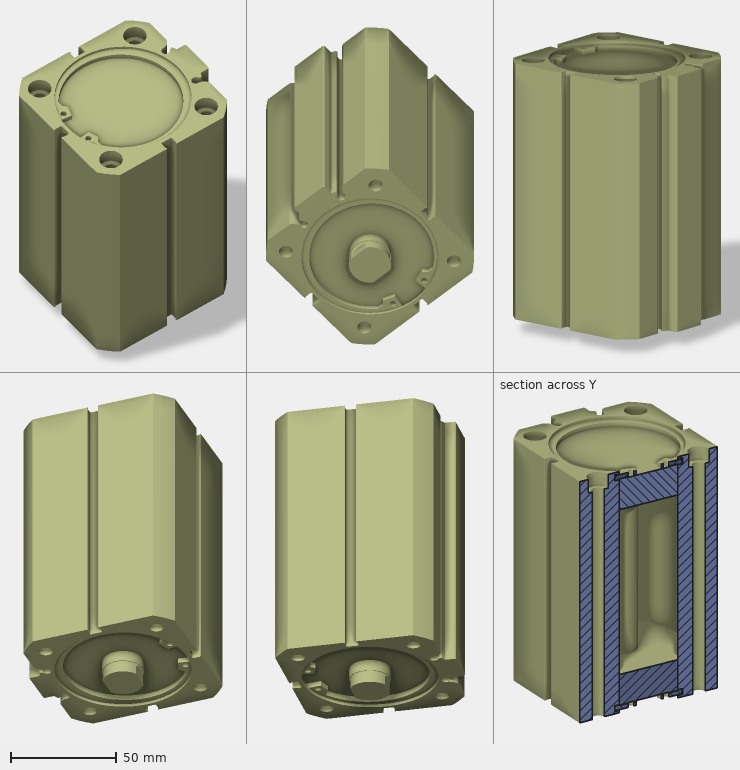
import cadquery as cq
import math

OVERALL_DEPTH = 83.0
OVERALL_LENGTH = 133.0

HOUSING_WIDTH = 77.5
HALF_WIDTH = HOUSING_WIDTH / 2
HOUSING_HEIGHT = 125.5
CORNER_RADIUS = 49.5
BORE_RADIUS = 32.6

BOSS_TOP_Y = OVERALL_DEPTH - HALF_WIDTH
BOSS_HALF_WIDTH = 9.5
BOSS_CHAMFER = 0.5
GROOVE_X = 11.8
GROOVE_Y = 34.2
GROOVE_RADIUS = 2.0

SLOT_WIDTH = 6.3
SLOT_DEPTH = 4.5
SLOT_MOUTH = 5.3
SLOT_FLOOR_RADIUS = 0.5
SLOT_LIP = 0.7
SLOT_BEVEL_WIDTH = 0.4
SLOT_BEVEL_DEPTH = 0.1

HOLE_SPACING = 56.5
HOLE_DIAMETER = 6.6
COUNTERBORE_DIAMETER = 11.2
COUNTERBORE_DEPTH = 7.0

RING_GROOVE_INSET = 1.5
RING_GROOVE_HEIGHT = 2.7
RING_THICKNESS = 2.5
RING_DIAMETER = 68.0
RING_RADIUS = RING_DIAMETER / 2
RING_INNER_RADIUS = 29.7
RING_INNER_OFFSET = 1.2
LUG_START_X = 18.2
LUG_HOLE_X = 9.8
LUG_HOLE_Y = -27.9
LUG_HOLE_DIAMETER = 2.9
GAP_OVERCUT = 1.3

COVER_INSET = RING_GROOVE_INSET + RING_GROOVE_HEIGHT
RING_GROOVE_LEVELS = (RING_GROOVE_INSET, HOUSING_HEIGHT - COVER_INSET)
RING_LEVELS = (COVER_INSET - RING_THICKNESS, HOUSING_HEIGHT - COVER_INSET)

COVER_THICKNESS = 16.0
CAP_BOTTOM_Z = HOUSING_HEIGHT - COVER_INSET - COVER_THICKNESS

ROD_DIAMETER = 20.0
ROD_NECK_DIAMETER = 19.2
ROD_TIP_Z = HOUSING_HEIGHT - OVERALL_LENGTH
ROD_SHOULDER_Z = -1.3
ROD_RIM_HEIGHT = 0.4
FLAT_WIDTH = 16.9
FLAT_TOP_Z = -2.7
FLAT_TOP_RAMP = 1.2


def housing_outline():
    """Square outline with the port boss and its two sensor grooves on the +Y side."""
    face_edge = (17.0, HALF_WIDTH)
    lip_middle = (15.0, 37.4)
    groove_outer = (GROOVE_X + GROOVE_RADIUS, GROOVE_Y)
    groove_bottom = (GROOVE_X, GROOVE_Y - GROOVE_RADIUS)
    groove_inner = (GROOVE_X - GROOVE_RADIUS, GROOVE_Y)
    groove_top = (10.4, 35.8)
    hook_lower = (11.2, 36.2)
    hook_tip_lower = (11.8, 37.1)
    hook_tip_upper = (11.8, 37.9)
    boss_root = (BOSS_HALF_WIDTH, 39.0)
    boss_side = (BOSS_HALF_WIDTH, BOSS_TOP_Y - BOSS_CHAMFER)
    boss_top = (BOSS_HALF_WIDTH - BOSS_CHAMFER, BOSS_TOP_Y)
    hook = [groove_top, hook_lower, hook_tip_lower, hook_tip_upper, boss_root, boss_side, boss_top]

    def mirrored(point):
        return (-point[0], point[1])

    outline = (
        cq.Workplane("XY")
        .moveTo(-HALF_WIDTH, -HALF_WIDTH)
        .lineTo(-HALF_WIDTH, HALF_WIDTH)
        .lineTo(*mirrored(face_edge))
        .threePointArc(mirrored(lip_middle), mirrored(groove_outer))
        .threePointArc(mirrored(groove_bottom), mirrored(groove_inner))
    )
    for point in hook:
        outline = outline.lineTo(*mirrored(point))
    for point in reversed(hook):
        outline = outline.lineTo(*point)
    return (
        outline.lineTo(*groove_inner)
        .threePointArc(groove_bottom, groove_outer)
        .threePointArc(lip_middle, face_edge)
        .lineTo(HALF_WIDTH, HALF_WIDTH)
        .lineTo(HALF_WIDTH, -HALF_WIDTH)
        .close()
    )


def sensor_slot(angle):
    """Lipped slot along the whole height; at angle 0 it opens toward -Y."""
    floor_y = SLOT_DEPTH - HALF_WIDTH
    lip_y = SLOT_LIP - HALF_WIDTH
    channel = cq.Workplane("XY").rect(SLOT_WIDTH, floor_y - lip_y)
    channel = channel.extrude(HOUSING_HEIGHT).translate((0, (floor_y + lip_y) / 2, 0))
    channel = channel.edges("|Z and >Y").fillet(SLOT_FLOOR_RADIUS)
    mouth = cq.Workplane("XY").rect(SLOT_MOUTH, 2 * SLOT_LIP)
    mouth = mouth.extrude(HOUSING_HEIGHT).translate((0, -HALF_WIDTH, 0))
    bevel = (
        cq.Workplane("XY")
        .polyline([
            (-SLOT_MOUTH / 2 - SLOT_BEVEL_WIDTH, -HALF_WIDTH),
            (SLOT_MOUTH / 2 + SLOT_BEVEL_WIDTH, -HALF_WIDTH),
            (SLOT_MOUTH / 2, SLOT_BEVEL_DEPTH - HALF_WIDTH),
            (-SLOT_MOUTH / 2, SLOT_BEVEL_DEPTH - HALF_WIDTH),
        ])
        .close()
        .extrude(HOUSING_HEIGHT)
    )
    return channel.union(mouth).union(bevel).rotate((0, 0, 0), (0, 0, 1), angle)


def make_housing():
    """Profiled body with a through bore, ring grooves, slots and counterbored corner holes."""
    body = housing_outline().extrude(HOUSING_HEIGHT)
    body = body.intersect(cq.Workplane("XY").circle(CORNER_RADIUS).extrude(HOUSING_HEIGHT))
    body = body.cut(cq.Workplane("XY").circle(BORE_RADIUS).extrude(HOUSING_HEIGHT))
    for angle in (-90, 0, 90):
        body = body.cut(sensor_slot(angle))
    for groove_z in RING_GROOVE_LEVELS:
        groove = cq.Workplane("XY").workplane(offset=groove_z).circle(RING_RADIUS)
        body = body.cut(groove.extrude(RING_GROOVE_HEIGHT))
    return (
        body.faces(">Z").workplane(origin=(0, 0, HOUSING_HEIGHT))
        .rect(HOLE_SPACING, HOLE_SPACING, forConstruction=True)
        .vertices()
        .cboreHole(HOLE_DIAMETER, COUNTERBORE_DIAMETER, COUNTERBORE_DEPTH)
    )


def make_retaining_ring(bottom_z):
    """Snap ring, open toward -Y, with a drilled lug on each side of the gap."""
    lug_start_y = -RING_INNER_OFFSET - math.sqrt(RING_INNER_RADIUS**2 - LUG_START_X**2)
    lug_edge = [
        (LUG_START_X, lug_start_y),
        (17.2, -25.5),
        (14.4, -25.5),
        (12.2, -23.5),
        (6.5, -25.5),
        (8.1, -RING_RADIUS - GAP_OVERCUT),
    ]
    lug_edge_left = [(-x, y) for x, y in lug_edge]
    plane = cq.Workplane("XY").workplane(offset=bottom_z)
    opening = (
        plane.polyline(lug_edge_left[::-1])
        .threePointArc((0, RING_INNER_RADIUS - RING_INNER_OFFSET), lug_edge[0])
        .polyline(lug_edge, includeCurrent=False)
        .close()
        .extrude(RING_THICKNESS)
    )
    lug_holes = (
        plane.pushPoints([(-LUG_HOLE_X, LUG_HOLE_Y), (LUG_HOLE_X, LUG_HOLE_Y)])
        .circle(LUG_HOLE_DIAMETER / 2)
        .extrude(RING_THICKNESS)
    )
    return plane.circle(RING_RADIUS).extrude(RING_THICKNESS).cut(opening).cut(lug_holes)


def make_end_cap():
    """Plain disc closing the top of the bore, held by the upper ring."""
    plane = cq.Workplane("XY").workplane(offset=CAP_BOTTOM_Z)
    return plane.circle(BORE_RADIUS).extrude(COVER_THICKNESS)


def make_rod_cover():
    """Disc closing the bottom of the bore and guiding the rod."""
    plane = cq.Workplane("XY").workplane(offset=COVER_INSET)
    return plane.circle(BORE_RADIUS).circle(ROD_DIAMETER / 2).extrude(COVER_THICKNESS)


def make_rod():
    """Rod reaching from its tip to the end cap, with two wrench flats facing -Y and +Y."""
    rod = cq.Workplane("XY").workplane(offset=ROD_TIP_Z).circle(ROD_DIAMETER / 2)
    rod = rod.extrude(CAP_BOTTOM_Z - ROD_TIP_Z)
    neck_bottom_z = ROD_TIP_Z + ROD_RIM_HEIGHT
    neck_cut = cq.Workplane("XY").workplane(offset=neck_bottom_z)
    neck_cut = neck_cut.circle(ROD_DIAMETER).circle(ROD_NECK_DIAMETER / 2)
    rod = rod.cut(neck_cut.extrude(ROD_SHOULDER_Z - neck_bottom_z))

    flat_y = FLAT_WIDTH / 2
    ramp = FLAT_TOP_RAMP
    flat_cut = (
        cq.Workplane("YZ")
        .polyline([
            (flat_y, ROD_TIP_Z),
            (flat_y, FLAT_TOP_Z),
            (flat_y + ramp, FLAT_TOP_Z + ramp),
            (ROD_DIAMETER, FLAT_TOP_Z + ramp),
            (ROD_DIAMETER, ROD_TIP_Z),
        ])
        .close()
        .extrude(ROD_DIAMETER, both=True)
    )
    return rod.cut(flat_cut).cut(flat_cut.mirror("XZ"))


housing = make_housing()
retaining_rings = [make_retaining_ring(level) for level in RING_LEVELS]
end_cap = make_end_cap()
rod_cover = make_rod_cover()
rod = make_rod()

result = cq.Compound.makeCompound([
    housing.val(),
    *[ring.val() for ring in retaining_rings],
    end_cap.val(),
    rod_cover.val(),
    rod.val(),
])